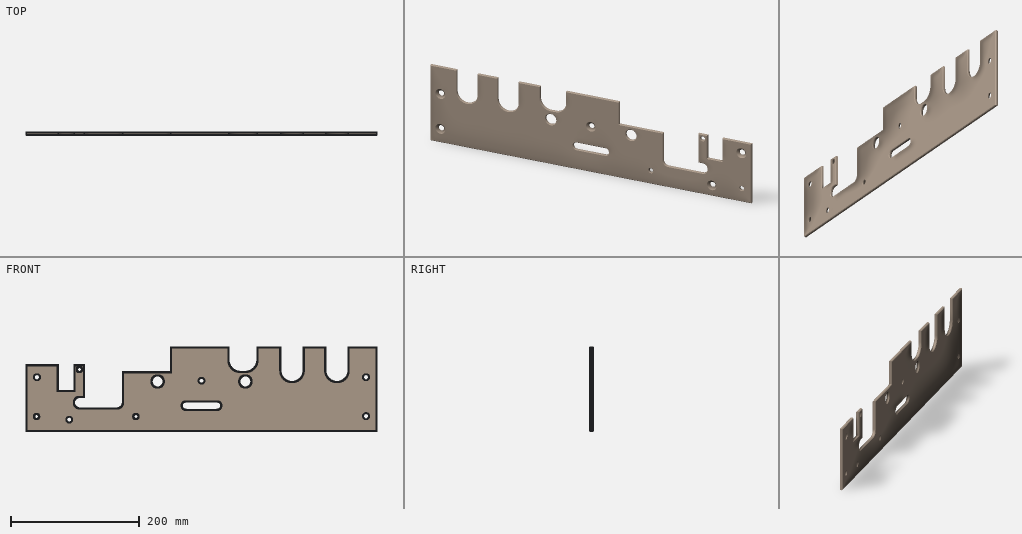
import cadquery as cq
import math

half_arc = math.sin(math.radians(45))

length = 544.0
thickness = 5.0
height = 130.5
edge_chamfer = 1.0

left_top = 103.0
middle_top = 92.0
middle_left = 149.5
high_left = 224.0

square_notch_left = 49.5
square_notch_floor = 63.0

tab_left = 74.5
tab_right = 90.5
undercut_top = 53.0
undercut_floor = 36.0
undercut_radius = (undercut_top - undercut_floor) / 2

wide_notch_center = 336.0
wide_notch_width = 44.0
wide_notch_floor = 92.5
wide_notch_radius = 18.0
round_notch_centers = (412.5, 482.0)
round_notch_width = 35.5
round_notch_floor = 76.5

countersink_depth = 4.0
mount_inset = 17.0
mount_low = 23.5
mount_high = 84.0
mount_diameter = 9.0
mount_centers = [
    (mount_inset, mount_high),
    (length - mount_inset, mount_high),
    (length - mount_inset, mount_low),
]
pin_diameter = 8.5
pin_centers = [(67.0, 18.0), (length / 2, 78.5)]

large_diameter = 18.0
large_spacing = 136.0
large_height = 77.0
large_centers = [(length / 2 + side * large_spacing / 2, large_height) for side in (-1, 1)]

screw_diameter = 7.0
screw_low = 23.0
screw_centers = [(16.5, screw_low), (170.0, screw_low), (82.5, 96.0)]

slot_length = 60.5
slot_width = 12.0
slot_height = 39.5


def front_plane():
    """Work plane on the front face; extruding by a negative distance goes into the plate."""
    return cq.Workplane("XZ")


def plate_blank():
    """Stepped outline, before the notches open to the full-height edge are cut."""
    corner_offset = undercut_radius * (1 - half_arc)
    return (
        front_plane()
        .moveTo(0, 0)
        .lineTo(length, 0)
        .lineTo(length, height)
        .lineTo(high_left, height)
        .lineTo(high_left, middle_top)
        .lineTo(middle_left, middle_top)
        .lineTo(middle_left, undercut_floor + undercut_radius)
        .threePointArc(
            (middle_left - corner_offset, undercut_floor + corner_offset),
            (middle_left - undercut_radius, undercut_floor),
        )
        .lineTo(tab_left + undercut_radius, undercut_floor)
        .threePointArc(
            (tab_left, undercut_floor + undercut_radius),
            (tab_left + undercut_radius, undercut_top),
        )
        .lineTo(tab_right, undercut_top)
        .lineTo(tab_right, left_top)
        .lineTo(tab_left, left_top)
        .lineTo(tab_left, square_notch_floor)
        .lineTo(square_notch_left, square_notch_floor)
        .lineTo(square_notch_left, left_top)
        .lineTo(0, left_top)
        .close()
        .extrude(-thickness)
    )


def top_notch(center, width, floor, radius):
    """Cutter for a notch open at the top edge, with rounded lower corners."""
    shoulder = floor + radius
    corner_offset = radius * half_arc
    half = width / 2
    flat_half = half - radius
    notch = (
        front_plane()
        .moveTo(center - half, height)
        .lineTo(center - half, shoulder)
        .threePointArc(
            (center - flat_half - corner_offset, shoulder - corner_offset),
            (center - flat_half, floor),
        )
    )
    if flat_half > 0:
        notch = notch.lineTo(center + flat_half, floor)
    return (
        notch
        .threePointArc(
            (center + flat_half + corner_offset, shoulder - corner_offset),
            (center + half, shoulder),
        )
        .lineTo(center + half, height)
        .close()
        .extrude(-thickness)
    )


def through_holes(centers, diameter):
    return front_plane().pushPoints(centers).circle(diameter / 2).extrude(-thickness)


def countersunk_holes(centers, diameter):
    """Through holes widened at 45 degrees from the rear face; sharp-edged at the front."""
    holes = through_holes(centers, diameter)
    for x, z in centers:
        countersink = cq.Solid.makeCone(
            diameter / 2 + countersink_depth,
            diameter / 2,
            countersink_depth,
            cq.Vector(x, thickness, z),
            cq.Vector(0, -1, 0),
        )
        holes = holes.union(cq.Workplane(countersink))
    return holes


def slot():
    return front_plane().center(length / 2, slot_height).slot2D(slot_length, slot_width).extrude(-thickness)


result = plate_blank()
result = result.cut(top_notch(wide_notch_center, wide_notch_width, wide_notch_floor, wide_notch_radius))
for notch_center in round_notch_centers:
    result = result.cut(
        top_notch(notch_center, round_notch_width, round_notch_floor, round_notch_width / 2)
    )
result = result.cut(through_holes(large_centers, large_diameter))
result = result.cut(through_holes(screw_centers, screw_diameter))
result = result.cut(slot())

result = result.faces("<Y or >Y").chamfer(edge_chamfer)
result = result.cut(countersunk_holes(mount_centers, mount_diameter))
result = result.cut(countersunk_holes(pin_centers, pin_diameter))